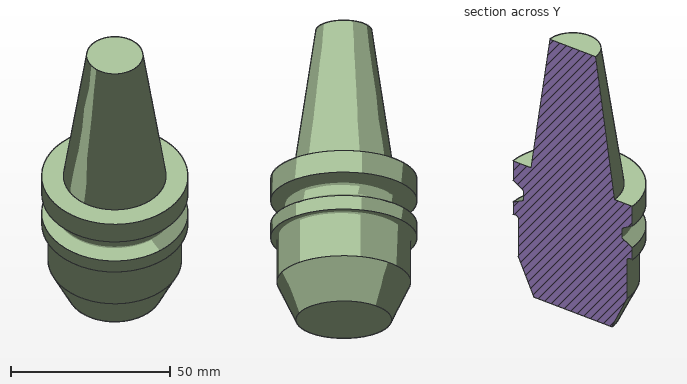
import cadquery as cq

total_height = 98.4
flange_top = 47.9
groove_upper_edge = 40.5
groove_floor_top = 38.2
groove_floor_bottom = 34.6
groove_lower_edge = 32.6
flange_bottom = 27.9
nose_cone_top = 12.9

shank_tip_diameter = 17.7
shank_base_diameter = 32.3
flange_diameter = 46.0
groove_diameter = 38.0
body_diameter = 42.0
nose_diameter = 30.0

body_blend_radius = 0.8
groove_upper_fillet = 0.8
groove_lower_fillet = 0.4

selection_margin = 0.1


def half_profile():
    """Half section of the tool holder in the XZ plane, from the nose upwards."""
    body_radius = body_diameter / 2
    flange_radius = flange_diameter / 2
    groove_radius = groove_diameter / 2
    return (
        cq.Workplane("XZ")
        .lineTo(nose_diameter / 2, 0)
        .lineTo(body_radius, nose_cone_top)
        .lineTo(body_radius, flange_bottom - body_blend_radius)
        .radiusArc((body_radius + body_blend_radius, flange_bottom), body_blend_radius)
        .lineTo(flange_radius, flange_bottom)
        .lineTo(flange_radius, groove_lower_edge)
        .lineTo(groove_radius, groove_floor_bottom)
        .lineTo(groove_radius, groove_floor_top)
        .lineTo(flange_radius, groove_upper_edge)
        .lineTo(flange_radius, flange_top)
        .lineTo(shank_base_diameter / 2, flange_top)
        .lineTo(shank_tip_diameter / 2, total_height)
        .lineTo(0, total_height)
        .close()
    )


def fillet_groove_corner(holder, corner_height, fillet_radius):
    """Round the circular corner of the groove floor at the given height."""
    reach = groove_diameter / 2 + selection_margin
    corner_box = cq.selectors.BoxSelector(
        (-reach, -reach, corner_height - selection_margin),
        (reach, reach, corner_height + selection_margin),
    )
    return holder.edges("%CIRCLE").edges(corner_box).fillet(fillet_radius)


holder = half_profile().revolve(360, (0, 0, 0), (0, 1, 0))
holder = fillet_groove_corner(holder, groove_floor_top, groove_upper_fillet)
result = fillet_groove_corner(holder, groove_floor_bottom, groove_lower_fillet)